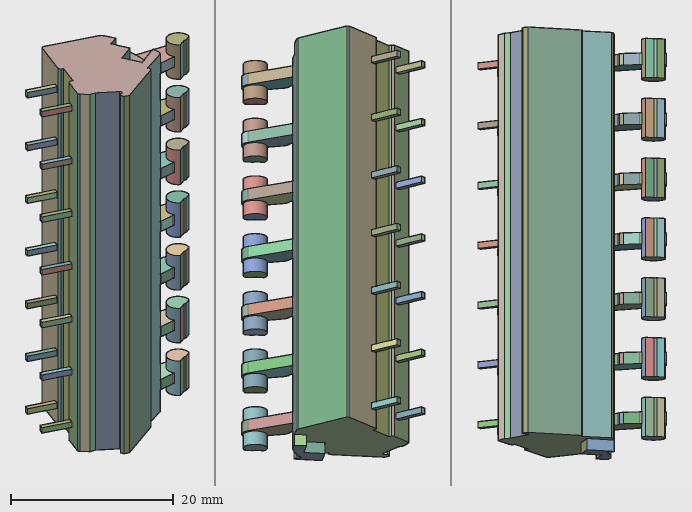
import cadquery as cq
import math

total_height = 52.3
total_depth = 22.3
tab_height = 1.4
pocket_clearance = 0.05
housing_height = total_height - tab_height
pocket_depth = tab_height + pocket_clearance

housing_width = 15.0
back_height = 7.75
corner_chamfer = 0.2
foot_end_x = 12.5

groove_start_x = 5.95
groove_end_x = 9.1
groove_depth = 0.65
groove_chamfer = 0.25

wire_side = [(13.0, 1.35), (12.9, 2.15), (13.7, 5.0), (13.85, 5.25), (14.0, 5.25)]
lip_underside = [(14.35, 4.85), (14.65, 4.75)]
lip_bottom_y = 5.05
lip_top_y = 5.8

slope_step = [(10.1, 10.55), (9.8, 10.55), (9.55, 10.3)]
ridge_edge = (5.5, 12.6)
ridge_crest = [(6.95, 13.0), (6.55, 13.1)]
ridge_foot = [(5.35, 12.45), (5.35, 12.15), (5.65, 12.1), (5.65, 11.75)]

shoulder_end = (5.55, 11.55)
shoulder_middle = (3.9, 11.15)
shoulder_start = (2.3, 10.35)
slope_foot = (0.2, 8.15)

key_zigzag = [(1.3, 9.4), (2.4, 8.25), (4.25, 10.1), (6.1, 8.25), (8.05, 10.2)]
key_outer_point = (4.7, 13.6)

pole_count = 7
pole_span = 45.05
pole_pitch = pole_span / (pole_count - 1)
first_pole_z = 2.7

pins_per_pole = 2
pin_width = 0.7
pin_thickness = 0.8
pin_embed = 1.55
first_pin_x = 5.05
pin_spacing = 4.95

arm_thickness = 1.45
arm_root_y = 9.4
arm_root_left_x = 2.55
arm_tip_left = (1.35, 16.6)
arm_tip_curve = (1.85, 17.9)
arm_neck = [(4.45, 15.6), (5.25, 13.75), (5.25, 13.2), (5.0, 12.85), (5.0, 12.3), (5.3, 11.7)]
knob_length = 4.9
knob_diameter = 3.0
knob_radius = knob_diameter / 2
knob_center = (3.2, 16.85)
upper_flat_offset = 1.0
lower_flat_offset = 0.85
upper_flat_end = -0.185
lower_flat_start = 0.15

pin_length = total_depth - knob_center[1] - knob_radius


def knob_point(outward, along):
    """Point at a distance outward from the knob axis to its flats, and along them towards +X, -Y."""
    x = knob_center[0] + (outward + along) / math.sqrt(2)
    y = knob_center[1] + (outward - along) / math.sqrt(2)
    return (x, y)


def half_chord(offset):
    return math.sqrt(knob_radius**2 - offset**2)


knob_top = knob_point(upper_flat_offset, -half_chord(upper_flat_offset))
knob_ledge = [
    knob_point(upper_flat_offset, upper_flat_end),
    knob_point(lower_flat_offset, lower_flat_start),
]
knob_side = knob_point(lower_flat_offset, half_chord(lower_flat_offset))
knob_far_side = knob_point(-knob_radius, 0)


def make_housing():
    """Constant section of the terminal block, extruded over the housing height."""
    board_face = [
        (corner_chamfer, 0),
        (groove_start_x - groove_chamfer, 0),
        (groove_start_x, groove_chamfer),
        (groove_start_x, groove_depth),
        (groove_end_x, groove_depth),
        (groove_end_x, groove_chamfer),
        (groove_end_x + groove_chamfer, 0),
        (foot_end_x - corner_chamfer, 0),
        (foot_end_x, corner_chamfer),
    ]
    lip = lip_underside + [(housing_width, lip_bottom_y), (housing_width, lip_top_y)]
    ridge = ridge_crest + [ridge_edge] + ridge_foot
    section = (
        cq.Workplane("XY")
        .polyline(board_face + wire_side + lip + slope_step + ridge + [shoulder_end])
        .threePointArc(shoulder_middle, shoulder_start)
        .lineTo(*slope_foot)
        .lineTo(0, back_height)
        .lineTo(0, corner_chamfer)
        .close()
    )
    return section.extrude(housing_height)


def make_key(height):
    """Key prism that reaches past the shoulder, so that it opens through the housing's outer side."""
    return cq.Workplane("XY").polyline(key_zigzag + [ridge_edge, key_outer_point]).close().extrude(height)


def make_pin(x, z):
    """Rectangular pin standing out of the board face towards -Y."""
    center_y = (pin_embed - pin_length) / 2
    pin = cq.Workplane("XY").box(pin_width, pin_length + pin_embed, pin_thickness)
    return pin.translate((x, center_y, z))


def make_lever(z):
    """Arm rooted in the housing, with the knob centred on it."""
    arm = (
        cq.Workplane("XY")
        .moveTo(arm_root_left_x, arm_root_y)
        .lineTo(*arm_tip_left)
        .threePointArc(arm_tip_curve, knob_top)
    )
    for point in knob_ledge + arm_neck:
        arm = arm.lineTo(*point)
    arm = arm.lineTo(arm_neck[-1][0], arm_root_y).close()
    knob = (
        cq.Workplane("XY")
        .moveTo(*knob_top)
        .threePointArc(knob_far_side, knob_side)
        .lineTo(*knob_ledge[1])
        .lineTo(*knob_ledge[0])
        .close()
    )
    arm = arm.extrude(arm_thickness / 2, both=True)
    knob = knob.extrude(knob_length / 2, both=True)
    return arm.union(knob).translate((0, 0, z))


housing = make_housing()
tab = make_key(tab_height).intersect(housing).translate((0, 0, -tab_height))
pocket = make_key(pocket_depth).translate((0, 0, housing_height - pocket_depth))
result = housing.cut(pocket).union(tab)

for pole in range(pole_count):
    pole_z = first_pole_z + pole * pole_pitch
    result = result.union(make_lever(pole_z))
    for row in range(pins_per_pole):
        result = result.union(make_pin(first_pin_x + row * pin_spacing, pole_z))